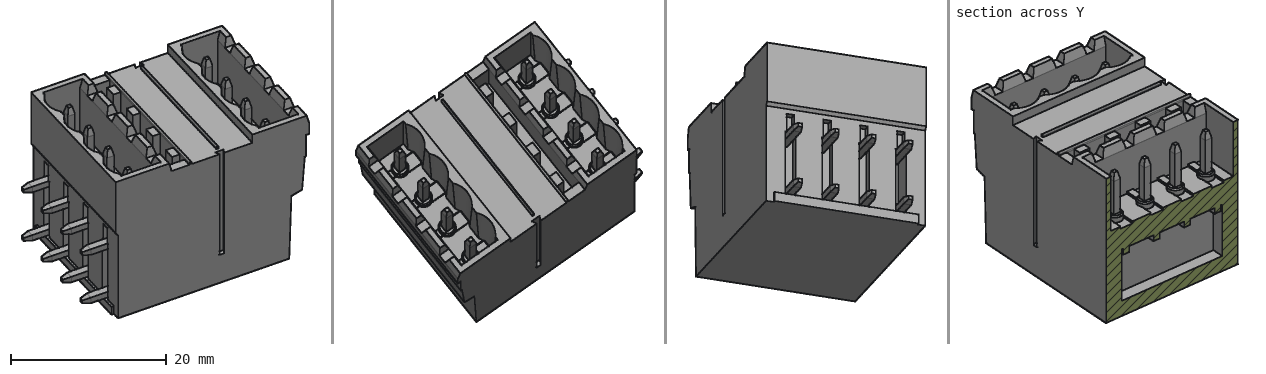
import cadquery as cq

width = 21.9
height = 22.2
depth = 28.7
half_width = width / 2
ledge_z = 20.85
valley_back_y = 20.25
lip_run = 0.38

pole_count = 4
pole_pitch = 5.05
row_pitch = 20.38
pole_xs = [(i - (pole_count - 1) / 2) * pole_pitch for i in range(pole_count)]
row_ys = [0, row_pitch]
row_depth = depth - row_pitch

front_step_z = 13.9
front_step = 0.35
foot_width = 19.8
foot_height = 1.27

socket_width = 20.25
socket_front = 1.3
socket_back = 6.78
socket_floor_z = front_step_z
mouth_run = 0.38
scallop_width = 4.15
scallop_depth = 0.75
scallop_lean = 0.35
notch_bottom_width = 1.25
notch_top_width = 1.97

pin_width = 1.05
pin_height = 0.92
tip_scale = 0.52
tip_length = 1.08
pin_offset = 3.75
pin_top_z = 20.77
pin_reach = 3.15
solder_pin_zs = [1.95, 9.78]
collar_radius = 1.15
collar_height = 0.95
collar_bevel = 0.2
floor_rib_width = 1.05
floor_rib_height = 0.32
floor_groove_width = 1.97
floor_groove_depth = 0.32

slot_width = 1.4
slot_top_z = 10.22
plate_thickness = 1.0
hollow_depth = 2.75
narrow_slot_top_z = 12.75

recess_width = 19.33
recess_back_y = 10.92
recess_floor_z = 15.7
block_width = 1.65
block_length = 1.1
ridge_base = 0.35
rib_height = 0.38
rib_rounding = 0.13
rib_length = 19.62
rib_width = 0.32
groove_y = 15.73
groove_mouth = 0.7
groove_inner = 1.2
groove_depth = 0.65
groove_bottom_z = 4.55

stud_y = 26.98
stud_z = 10.05
stud_radius = 0.38


def box(x_size, y_range, z_range, x_mid=0.0):
    """Block centred on x_mid, spanning the given Y and Z ranges."""
    y0, y1 = y_range
    z0, z1 = z_range
    corner = (x_mid - x_size / 2, y0, z0)
    return cq.Workplane("XY").box(x_size, y1 - y0, z1 - z0, centered=False).translate(corner)


def side_prism(points, x_size):
    """Outline in (Y, Z), extruded evenly to both sides of the middle plane."""
    return cq.Workplane("YZ").polyline(points).close().extrude(x_size / 2, both=True)


def make_housing():
    outline = [
        (front_step, 0),
        (front_step, front_step_z - 0.48),
        (0, front_step_z),
        (0, height),
        (row_depth - lip_run, height),
        (row_depth, ledge_z),
        (valley_back_y, ledge_z),
        (valley_back_y, height),
        (depth - lip_run, height),
        (depth, ledge_z),
        (depth, 19.08),
        (28.22, 19.08),
        (28.22, 15.7),
        (28.03, 15.55),
        (27.65, 10.45),
        (26.05, 10.03),
        (25.75, 0),
    ]
    foot = box(foot_width, (0, front_step), (0, foot_height))
    return side_prism(outline, width).union(foot)


def make_scallop(x, front_y):
    """Scallop in a socket's front wall; it leans back from the rim down to the floor."""

    def section(wall_y, z):
        half_scallop = scallop_width / 2
        return (
            cq.Workplane("XY", origin=(x, wall_y, z))
            .moveTo(-half_scallop, 0)
            .threePointArc((0, -scallop_depth), (half_scallop, 0))
            .lineTo(half_scallop, scallop_depth)
            .lineTo(-half_scallop, scallop_depth)
            .close()
            .val()
        )

    floor = section(front_y + scallop_lean, socket_floor_z)
    rim = section(front_y, height)
    return cq.Workplane(cq.Solid.makeLoft([floor, rim], True))


def make_socket(row_y):
    """Cavity of one row, with its sloped back edge, scallops and back wall notches."""
    front_y = row_y + socket_front
    back_y = row_y + socket_back
    cavity = box(socket_width, (front_y, back_y), (socket_floor_z, height))
    mouth = side_prism(
        [(back_y, ledge_z), (back_y + mouth_run, height), (back_y, height)],
        socket_width,
    )
    cavity = cavity.union(mouth)
    for x in pole_xs:
        cavity = cavity.union(make_scallop(x, front_y))
        notch = (
            cq.Workplane("XZ", origin=(x, back_y, 0))
            .moveTo(-notch_bottom_width / 2, ledge_z)
            .lineTo(notch_bottom_width / 2, ledge_z)
            .lineTo(notch_top_width / 2, height)
            .lineTo(-notch_top_width / 2, height)
            .close()
            .extrude(-(row_depth - socket_back))
        )
        cavity = cavity.union(notch)
    return cavity


def make_floor_groove(x, row_y):
    scallop_y = row_y + socket_front + scallop_lean - scallop_depth
    y_range = (scallop_y, row_y + pin_offset)
    z_range = (socket_floor_z - floor_groove_depth, socket_floor_z)
    return box(floor_groove_width, y_range, z_range, x)


def make_pin_base(x, row_y):
    """Bevelled collar around an upright pin and the rib joining it to the back wall."""
    base_z = socket_floor_z - floor_groove_depth
    collar = (
        cq.Workplane("XY", origin=(x, row_y + pin_offset, base_z))
        .circle(collar_radius)
        .extrude(collar_height)
        .faces(">Z")
        .chamfer(collar_bevel)
    )
    rib_y = (row_y + pin_offset, row_y + socket_back)
    rib_z = (base_z, socket_floor_z + floor_rib_height)
    return collar.union(box(floor_rib_width, rib_y, rib_z, x))


def make_pin(root, direction, x_dir, length, thickness):
    """Rectangular pin with a tapered tip, growing from root along direction."""
    start = cq.Workplane(cq.Plane(origin=root, xDir=x_dir, normal=direction))
    shank = start.rect(pin_width, thickness).extrude(length - tip_length)
    tip = (
        start.workplane(offset=length - tip_length)
        .rect(pin_width, thickness)
        .workplane(offset=tip_length)
        .rect(pin_width * tip_scale, thickness * tip_scale)
        .loft(ruled=True)
    )
    return shank.union(tip)


def make_upright_pin(x, row_y):
    root = (x, row_y + pin_offset, socket_floor_z - floor_groove_depth)
    return make_pin(root, (0, 0, 1), (1, 0, 0), pin_top_z - root[2], pin_width)


def make_solder_pin(x, z):
    root = (x, front_step + hollow_depth, z)
    return make_pin(root, (0, -1, 0), (1, 0, 0), root[1] + pin_reach, pin_height)


def make_hollow():
    """Space behind the front plate; its floor is level with the tops of the lower solder pins."""
    hollow_width = pole_xs[-1] - pole_xs[0] + slot_width
    y_range = (front_step + plate_thickness, front_step + hollow_depth)
    floor_z = solder_pin_zs[0] + pin_height / 2
    return box(hollow_width, y_range, (floor_z, slot_top_z))


def make_pin_slot(x):
    y_range = (front_step, front_step + plate_thickness)
    wide = box(slot_width, y_range, (foot_height, slot_top_z), x)
    return wide.union(box(pin_width, y_range, (slot_top_z, narrow_slot_top_z), x))


def make_recess():
    """Pocket behind the front row; a block on its rear wall stays at each pole."""
    recess = box(recess_width, (row_depth, recess_back_y), (recess_floor_z, ledge_z))
    for x in pole_xs:
        block_y = (recess_back_y - block_length, recess_back_y)
        recess = recess.cut(box(block_width, block_y, (recess_floor_z, ledge_z), x))
    return recess


def make_ridge():
    """Round-topped ridge along the recess edge, with its front flank sloped."""
    crest_y = recess_back_y + ridge_base - rib_width / 2
    outline = (
        cq.Workplane("YZ")
        .moveTo(recess_back_y, ledge_z)
        .lineTo(crest_y - rib_width / 2, ledge_z + rib_height - rib_width / 2)
        .threePointArc(
            (crest_y, ledge_z + rib_height),
            (crest_y + rib_width / 2, ledge_z + rib_height - rib_width / 2),
        )
        .lineTo(crest_y + rib_width / 2, ledge_z)
        .close()
    )
    return outline.extrude(half_width, both=True)


def make_marking_rib():
    y_range = (groove_y - rib_width / 2, groove_y + rib_width / 2)
    rib = box(rib_length, y_range, (ledge_z, ledge_z + rib_height))
    return rib.edges("|X and >Z").fillet(rib_rounding)


def make_side_groove(side):
    """Dovetail groove in the side wall; side is -1 or 1."""
    wall_x = side * half_width
    inner_x = side * (half_width - groove_depth)
    return (
        cq.Workplane("XY", origin=(0, groove_y, groove_bottom_z))
        .moveTo(wall_x, -groove_mouth / 2)
        .lineTo(wall_x, groove_mouth / 2)
        .lineTo(inner_x, groove_inner / 2)
        .lineTo(inner_x, -groove_inner / 2)
        .close()
        .extrude(ledge_z - groove_bottom_z)
    )


def make_stud(x):
    return cq.Workplane("XY", origin=(x, stud_y, stud_z)).sphere(stud_radius)


result = make_housing().cut(make_recess()).cut(make_hollow())
result = result.union(make_ridge()).union(make_marking_rib())
for side in (-1, 1):
    result = result.cut(make_side_groove(side))
for row_y in row_ys:
    result = result.cut(make_socket(row_y))
    for x in pole_xs:
        result = result.cut(make_floor_groove(x, row_y))
        result = result.union(make_pin_base(x, row_y))
        result = result.union(make_upright_pin(x, row_y))
for x in pole_xs:
    result = result.cut(make_pin_slot(x)).union(make_stud(x))
    for z in solder_pin_zs:
        result = result.union(make_solder_pin(x, z))